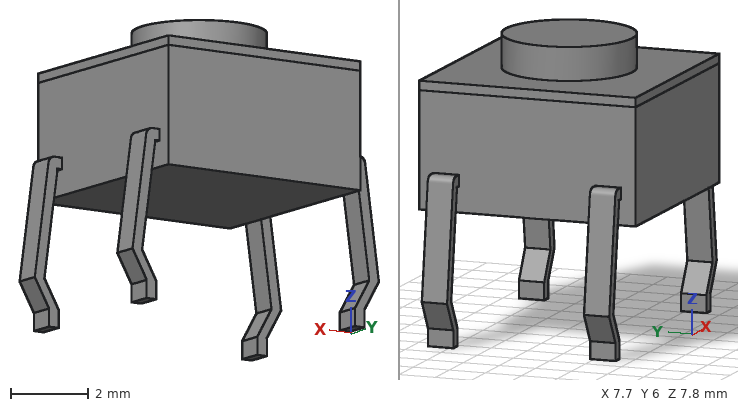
import cadquery as cq
import math

housing_side = 6.0
housing_top = 3.15
cover_thickness = 0.25
button_diameter = 3.5
button_height = 0.9

lead_width = 0.7
lead_thickness = 0.305
lead_pitch = 4.49
lead_top = 1.0
lead_bottom = -3.5
knee_height = -2.25
foot_height = -3.03
lead_span = 7.7
shoulder_reach = 0.4
foot_span = 6.81
bend_radius = 0.195
lead_slope_width = 0.305

housing_half = housing_side / 2
cover_top = housing_top + cover_thickness


def make_lead(side, y_center):
    """One lead on the +X (side = 1) or -X (side = -1) face, starting at the housing wall."""
    shoulder_x = housing_half + shoulder_reach
    knee_x = lead_span / 2
    foot_x = foot_span / 2
    shoulder_bottom = lead_top - lead_thickness
    slope = (knee_x - shoulder_x) / (lead_top - knee_height)
    inner_shoulder_x = shoulder_x + slope * lead_thickness - lead_slope_width

    leg_length = math.hypot(knee_x - shoulder_x, lead_top - knee_height)
    leg_x = (knee_x - shoulder_x) / leg_length
    leg_z = (knee_height - lead_top) / leg_length
    bend_angle = math.acos(leg_x)
    setback = bend_radius * math.tan(bend_angle / 2)
    center_x = shoulder_x - setback
    center_z = lead_top - bend_radius
    mid_angle = math.pi / 2 - bend_angle / 2
    bend_mid = (center_x + bend_radius * math.cos(mid_angle), center_z + bend_radius * math.sin(mid_angle))
    bend_end = (shoulder_x + setback * leg_x, lead_top + setback * leg_z)

    profile = (
        cq.Workplane("XZ")
        .moveTo(housing_half, lead_top)
        .lineTo(center_x, lead_top)
        .threePointArc(bend_mid, bend_end)
        .lineTo(knee_x, knee_height)
        .lineTo(foot_x, foot_height)
        .lineTo(foot_x, lead_bottom)
        .lineTo(foot_x - lead_thickness, lead_bottom)
        .lineTo(foot_x - lead_thickness, foot_height)
        .lineTo(knee_x - lead_slope_width, knee_height)
        .lineTo(inner_shoulder_x, shoulder_bottom)
        .lineTo(housing_half, shoulder_bottom)
        .close()
    )
    lead = profile.extrude(lead_width / 2, both=True)
    if side < 0:
        lead = lead.mirror("YZ")
    return lead.translate((0, y_center, 0))


def make_housing():
    """Square housing carrying its four leads as one body."""
    housing = cq.Workplane("XY").rect(housing_side, housing_side).extrude(housing_top)
    for side in (-1, 1):
        for y_center in (-lead_pitch / 2, lead_pitch / 2):
            housing = housing.union(make_lead(side, y_center))
    return housing


def make_cover():
    """Flat cover plate flush with the housing sides."""
    return (
        cq.Workplane("XY")
        .workplane(offset=housing_top)
        .rect(housing_side, housing_side)
        .extrude(cover_thickness)
    )


def make_button():
    """Round push button resting on the cover."""
    return cq.Workplane("XY").workplane(offset=cover_top).circle(button_diameter / 2).extrude(button_height)


housing = make_housing()
cover = make_cover()
button = make_button()

result = cq.Compound.makeCompound([housing.val(), cover.val(), button.val()])